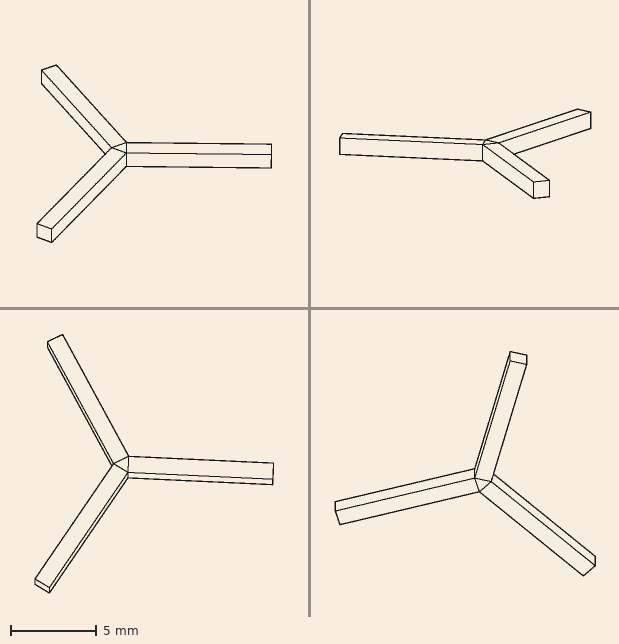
import cadquery as cq
import math

SPAN_X = 15.69
BAR_SIZE = 1.0
ARM_ANGLES = (30, 150, 270)

tilt = math.radians(ARM_ANGLES[0])
arm_reach = (SPAN_X / 2 - BAR_SIZE / 2 * math.sin(tilt)) / math.cos(tilt)

hub_inradius = BAR_SIZE / (2 * math.sqrt(3))
hub_circumradius = 2 * hub_inradius
arm_length = arm_reach - hub_inradius


def make_hub():
    """Triangular prism centred on the origin, with one corner toward +Y."""
    corners = [
        (0, hub_circumradius),
        (-BAR_SIZE / 2, -hub_inradius),
        (BAR_SIZE / 2, -hub_inradius),
    ]
    return cq.Workplane("XY").polyline(corners).close().extrude(BAR_SIZE / 2, both=True)


def make_arm(angle):
    """Square bar running outward from one side of the hub."""
    arm = cq.Workplane("XY").box(arm_length, BAR_SIZE, BAR_SIZE, centered=(False, True, True))
    return arm.translate((hub_inradius, 0, 0)).rotate((0, 0, 0), (0, 0, 1), angle)


hub = make_hub()
arms = [make_arm(angle) for angle in ARM_ANGLES]

result = cq.Compound.makeCompound([hub.val(), *[arm.val() for arm in arms]])